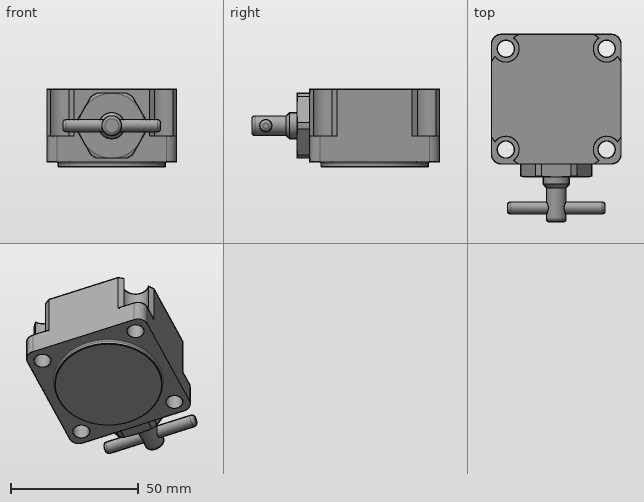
import cadquery as cq

block_side = 50.8
block_half = block_side / 2
block_height = 28.5
block_corner_radius = 3.95
boss_height = 2.0
boss_diameter = 42.0
boss_root_fillet = 0.5
boss_rim_chamfer = 0.2

mount_hole_spacing = 39.4
mount_hole_offset = mount_hole_spacing / 2
mount_hole_diameter = 6.6
pocket_diameter = 10.4
pocket_floor = 10.05
wall_outer_offset = 14.7
wall_inner_offset = 16.7
wall_depth = 1.5

axis_height = 14.15
nut_across_flats = 25.4
nut_corner_diameter = 27.95
nut_thickness = 5.0
nut_chamfer_depth = 0.3
nut_chamfer_diameter = nut_across_flats

hub_diameter = 10.3
hub_length = 2.85
shoulder_length = 1.4
shaft_diameter = 7.8
spindle_length = 17.6
spindle_end_fillet = 1.2

handle_diameter = 4.8
handle_length = 38.3
handle_end_fillet = 1.3
handle_to_spindle_tip = 5.4

nut_face_y = -block_half - nut_thickness
spindle_tip_y = nut_face_y - spindle_length
handle_y = spindle_tip_y + handle_to_spindle_tip


def plane_facing_front(y):
    """Work plane on the spindle axis at the given Y, with its normal along -Y."""
    return cq.Workplane("XZ", origin=(0, y, axis_height))


def make_handle_bar():
    """Plain cylinder along X, centred on the spindle."""
    return (
        cq.Workplane("YZ", origin=(0, handle_y, axis_height))
        .circle(handle_diameter / 2)
        .extrude(handle_length / 2, both=True)
    )


def make_corner_pocket():
    """Cutter for the pocket above the mounting face of the +X +Y corner."""
    pocket_height = block_height - pocket_floor
    wall_inner = block_half - wall_depth
    base = cq.Workplane("XY", origin=(0, 0, pocket_floor))
    seat = base.center(mount_hole_offset, mount_hole_offset).circle(pocket_diameter / 2).extrude(pocket_height)
    opening = (
        base.moveTo(mount_hole_offset, mount_hole_offset)
        .lineTo(wall_inner_offset, wall_inner)
        .lineTo(wall_outer_offset, block_half)
        .lineTo(block_half, block_half)
        .lineTo(block_half, wall_outer_offset)
        .lineTo(wall_inner, wall_inner_offset)
        .close()
        .extrude(pocket_height)
    )
    return seat.union(opening)


def make_housing():
    body = (
        cq.Workplane("XY")
        .rect(block_side, block_side)
        .extrude(block_height)
        .edges("|Z")
        .fillet(block_corner_radius)
    )
    boss = (
        cq.Workplane("XY")
        .circle(boss_diameter / 2)
        .extrude(-boss_height)
        .faces("<Z")
        .edges()
        .chamfer(boss_rim_chamfer)
    )
    body = body.union(boss)
    boss_root = cq.selectors.BoxSelector(
        (-boss_diameter / 2, -boss_diameter / 2, -boss_rim_chamfer),
        (boss_diameter / 2, boss_diameter / 2, boss_rim_chamfer),
    )
    body = body.edges(boss_root).fillet(boss_root_fillet)

    pocket = make_corner_pocket()
    for quarter_turn in range(4):
        body = body.cut(pocket.rotate((0, 0, 0), (0, 0, 1), 90 * quarter_turn))
    mount_holes = (
        cq.Workplane("XY")
        .rect(mount_hole_spacing, mount_hole_spacing, forConstruction=True)
        .vertices()
        .circle(mount_hole_diameter / 2)
        .extrude(block_height)
    )
    return body.cut(mount_holes)


def make_nut():
    """Hexagon with turned corners and a shallow cone around its outer face."""
    hexagon = (
        plane_facing_front(-block_half)
        .polygon(6, nut_across_flats, circumscribed=True)
        .extrude(nut_thickness)
        .rotate((0, 0, axis_height), (0, 1, axis_height), 30)
    )
    corner_radius = nut_corner_diameter / 2
    turned = (
        cq.Workplane("XY", origin=(0, -block_half, axis_height))
        .lineTo(corner_radius, 0)
        .lineTo(corner_radius, nut_chamfer_depth - nut_thickness)
        .lineTo(nut_chamfer_diameter / 2, -nut_thickness)
        .lineTo(0, -nut_thickness)
        .close()
        .revolve(360, (0, 0, 0), (0, 1, 0))
    )
    return hexagon.intersect(turned)


def make_spindle():
    """Hub, conical shoulder and shaft standing on the nut, with a hole for the handle."""
    shoulder_end = hub_length + shoulder_length
    turned = (
        cq.Workplane("XY", origin=(0, nut_face_y, axis_height))
        .lineTo(hub_diameter / 2, 0)
        .lineTo(hub_diameter / 2, -hub_length)
        .lineTo(shaft_diameter / 2, -shoulder_end)
        .lineTo(shaft_diameter / 2, -spindle_length)
        .lineTo(0, -spindle_length)
        .close()
        .revolve(360, (0, 0, 0), (0, 1, 0))
    )
    rounded = turned.faces("<Y").edges().fillet(spindle_end_fillet)
    return rounded.cut(make_handle_bar())


def make_handle():
    return make_handle_bar().faces("<X or >X").edges().fillet(handle_end_fillet)


housing = make_housing()
nut = make_nut()
spindle = make_spindle()
handle = make_handle()

result = cq.Compound.makeCompound([housing.val(), nut.val(), spindle.val(), handle.val()])